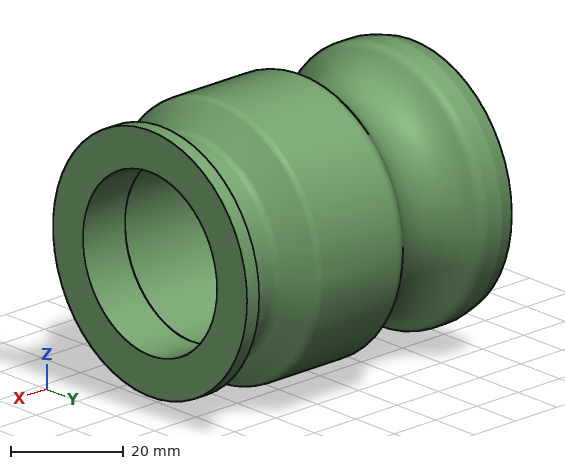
import cadquery as cq
import math

length = 63.5
body_radius = 53.35 / 2
neck_radius = 42.55 / 2
flange_radius = 50.4 / 2

lead_length = 3.2
lead_drop = 0.8

groove_center_x = 17.45
groove_half_width = 10.9
groove_depth = 5.2
groove_blend_radius = 2.9

shoulder_start_x = 47.4
shoulder_end_x = shoulder_start_x + body_radius - neck_radius
shoulder_blend_radius = 1.7

flange_thickness = 2.9
flange_slope = math.radians(20)
flange_root_radius = 1.1

bore_inlet_radius = 35.95 / 2
bore_outlet_radius = 34.8 / 2


def make_blank():
    """Solid outer shape, with its shoulder and flange root corners rounded."""
    flange_edge_x = length - flange_thickness
    flange_root_x = flange_edge_x - (flange_radius - neck_radius) * math.tan(flange_slope)

    center_distance = (groove_half_width**2 + groove_depth**2) / (2 * groove_depth)
    groove_bottom = body_radius - groove_depth
    blend_center_r = body_radius - groove_blend_radius
    tangent_angle = math.asin(groove_half_width / center_distance)

    def blend_point(side, angle):
        """Point on a blending arc, at an angle from its topmost point toward the groove."""
        x = groove_center_x + side * (groove_half_width - groove_blend_radius * math.sin(angle))
        return (x, blend_center_r + groove_blend_radius * math.cos(angle))

    left = -1
    right = 1
    profile = (
        cq.Workplane("XY")
        .moveTo(0, 0)
        .lineTo(0, body_radius - lead_drop)
        .lineTo(lead_length, body_radius)
        .lineTo(*blend_point(left, 0))
        .threePointArc(blend_point(left, tangent_angle / 2), blend_point(left, tangent_angle))
        .threePointArc((groove_center_x, groove_bottom), blend_point(right, tangent_angle))
        .threePointArc(blend_point(right, tangent_angle / 2), blend_point(right, 0))
        .lineTo(shoulder_start_x, body_radius)
        .lineTo(shoulder_end_x, neck_radius)
        .lineTo(flange_root_x, neck_radius)
        .lineTo(flange_edge_x, flange_radius)
        .lineTo(length, flange_radius)
        .lineTo(length, 0)
        .close()
    )
    blank = profile.revolve(360, (0, 0, 0), (1, 0, 0))

    def circle_at(x):
        """Selector for the circular edge at one place along the axis."""
        margin = 0.03
        return cq.selectors.BoxSelector(
            (x - margin, -length, -length), (x + margin, length, length), boundingbox=True
        )

    for x in (shoulder_start_x, shoulder_end_x):
        blank = blank.edges(circle_at(x)).fillet(shoulder_blend_radius)
    return blank.edges(circle_at(flange_root_x)).fillet(flange_root_radius)


def make_bore():
    """Through bore along the X axis, with its 45 degree step."""
    step_length = bore_inlet_radius - bore_outlet_radius
    return (
        cq.Workplane("XY")
        .moveTo(0, 0)
        .lineTo(0, bore_inlet_radius)
        .lineTo(shoulder_end_x, bore_inlet_radius)
        .lineTo(shoulder_end_x + step_length, bore_outlet_radius)
        .lineTo(length, bore_outlet_radius)
        .lineTo(length, 0)
        .close()
        .revolve(360, (0, 0, 0), (1, 0, 0))
    )


result = make_blank().cut(make_bore())